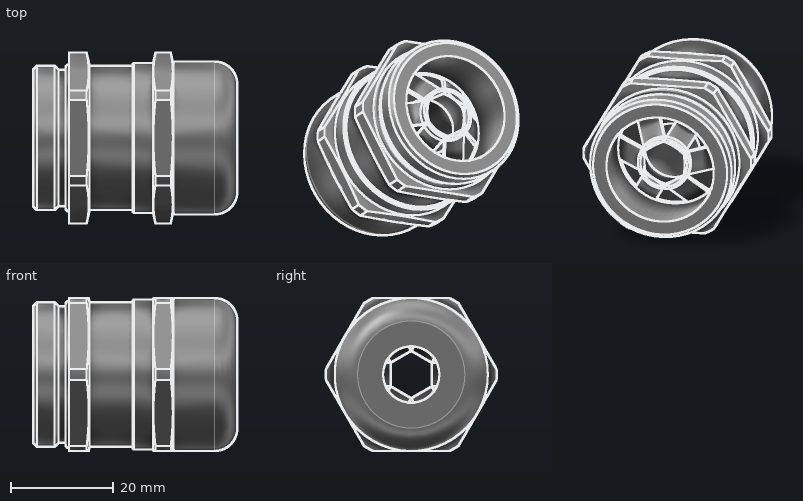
import cadquery as cq
import math

total_length = 40.0

thread_diameter = 28.3
thread_end_x = 4.25
thread_chamfer = 0.75
groove_diameter = 26.8
groove_start_x = thread_end_x + (thread_diameter - groove_diameter) / 2

washer_diameter = 28.8
washer_start_x = 6.35
body_hex_x = 7.0
washer_rounding = body_hex_x - washer_start_x

hex_across_flats = 30.0
hex_corner_diameter = 33.5
body_hex_length = 4.05
cap_hex_x = 23.4
cap_hex_length = 4.1
hex_chamfer_length = 0.55
hex_chamfer_diameter = 28.6

body_diameter = 28.3
collar_diameter = 29.4
collar_start_x = 19.5
collar_chamfer = 0.25

cap_diameter = 29.98
dome_radius = 4.5
dome_start_x = total_length - dome_radius

bore_diameter = 21.44
bore_step_x = 11.4
bore_floor_diameter = 21.2
bore_floor_x = 12.1
cable_hole_diameter = 11.0

finger_count = 6
finger_spacing = 360 / finger_count
finger_width = 4.68
finger_tip_x = 3.45
finger_tip_outer_radius = 5.15
finger_tip_end_x = 5.0
finger_tip_inner_radius = 4.65
finger_throat_start_x = 4.2
finger_throat_end_x = 4.4
finger_throat_across_flats = 8.0
finger_root_inner_radius = 10.3


def revolve_about_axis(outline):
    """Turn a closed outline of (x, radius) into a solid of revolution about X."""
    return outline.close().revolve(360, (0, 0, 0), (1, 0, 0))


def cylinder(diameter, start_x, end_x):
    return cq.Workplane("YZ", origin=(start_x, 0, 0)).circle(diameter / 2).extrude(end_x - start_x)


def hexagonal_prism(across_flats, start_x, end_x):
    """Hexagonal prism along X with two flats facing +Z and -Z."""
    corner_diameter = across_flats / math.cos(math.pi / 6)
    section = cq.Workplane("YZ", origin=(start_x, 0, 0)).polygon(6, corner_diameter)
    return section.extrude(end_x - start_x)


def hexagon_nut(start_x, length, chamfer_front):
    """Hexagon with turned corners, chamfered at the back and optionally at the front."""
    end_x = start_x + length
    corner_radius = hex_corner_diameter / 2
    chamfer_radius = hex_chamfer_diameter / 2
    blank = cq.Workplane("XY").moveTo(start_x, 0)
    if chamfer_front:
        blank = blank.lineTo(start_x, chamfer_radius).lineTo(start_x + hex_chamfer_length, corner_radius)
    else:
        blank = blank.lineTo(start_x, corner_radius)
    blank = blank.lineTo(end_x - hex_chamfer_length, corner_radius)
    blank = blank.lineTo(end_x, chamfer_radius).lineTo(end_x, 0)
    return hexagonal_prism(hex_across_flats, start_x, end_x).intersect(revolve_about_axis(blank))


def turned_body():
    """Outside of the gland without the hexagons, from the entry thread to the dome."""
    thread_radius = thread_diameter / 2
    groove_radius = groove_diameter / 2
    washer_radius = washer_diameter / 2
    body_radius = body_diameter / 2
    collar_radius = collar_diameter / 2
    cap_radius = cap_diameter / 2
    cap_start_x = cap_hex_x + cap_hex_length
    outline = (
        cq.Workplane("XY")
        .lineTo(0, thread_radius - thread_chamfer)
        .lineTo(thread_chamfer, thread_radius)
        .lineTo(thread_end_x, thread_radius)
        .lineTo(groove_start_x, groove_radius)
        .lineTo(washer_start_x, groove_radius)
        .lineTo(washer_start_x, washer_radius - washer_rounding)
        .radiusArc((body_hex_x, washer_radius), washer_rounding)
        .lineTo(body_hex_x, body_radius)
        .lineTo(collar_start_x, body_radius)
        .lineTo(collar_start_x, collar_radius - collar_chamfer)
        .lineTo(collar_start_x + collar_chamfer, collar_radius)
        .lineTo(cap_start_x, collar_radius)
        .lineTo(cap_start_x, cap_radius)
        .lineTo(dome_start_x, cap_radius)
        .radiusArc((total_length, cap_radius - dome_radius), dome_radius)
        .lineTo(total_length, 0)
    )
    return revolve_about_axis(outline)


def bore():
    entry = cylinder(bore_diameter, 0, bore_step_x)
    floor_recess = cylinder(bore_floor_diameter, bore_step_x, bore_floor_x)
    cable_hole = cylinder(cable_hole_diameter, bore_floor_x, total_length)
    return entry.union(floor_recess).union(cable_hole)


def finger_shell():
    """Flared shell the fingers are cut from, with a hexagonal throat near the tips."""
    throat_radius = finger_throat_across_flats / 2
    outline = (
        cq.Workplane("XY")
        .moveTo(finger_tip_x, finger_tip_inner_radius)
        .lineTo(finger_tip_x, finger_tip_outer_radius)
        .lineTo(finger_tip_end_x, finger_tip_outer_radius)
        .lineTo(bore_step_x, bore_diameter / 2)
        .lineTo(bore_floor_x, bore_diameter / 2)
        .lineTo(bore_floor_x, finger_root_inner_radius)
        .lineTo(finger_throat_end_x, throat_radius)
        .lineTo(finger_throat_start_x, throat_radius)
    )
    throat = hexagonal_prism(finger_throat_across_flats, finger_tip_x, bore_floor_x)
    throat = throat.rotate((0, 0, 0), (1, 0, 0), finger_spacing / 2)
    return revolve_about_axis(outline).cut(throat)


def clamping_fingers():
    bars = None
    length = bore_floor_x - finger_tip_x
    for index in range(finger_count // 2):
        bar = cq.Workplane("XY").box(length, bore_diameter, finger_width)
        bar = bar.translate((finger_tip_x + length / 2, 0, 0))
        bar = bar.rotate((0, 0, 0), (1, 0, 0), index * finger_spacing)
        bars = bar if bars is None else bars.union(bar)
    return finger_shell().intersect(bars)


body_hex = hexagon_nut(body_hex_x, body_hex_length, chamfer_front=False)
cap_hex = hexagon_nut(cap_hex_x, cap_hex_length, chamfer_front=True)
result = turned_body().union(body_hex).union(cap_hex).cut(bore()).union(clamping_fingers())